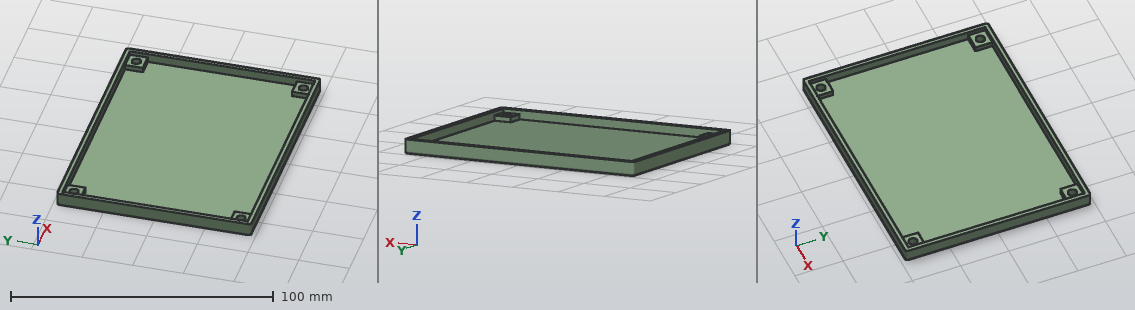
import cadquery as cq

length = 99.6
width = 76.6
height = 5.6
wall = 1.8
floor_thickness = 2.0
edge_radius = 1.0

post_size = 7.1
post_top = 4.0
hole_diameter = 3.4

inner_length = length - 2 * wall
inner_width = width - 2 * wall
post_spacing_x = inner_length - post_size
post_spacing_y = inner_width - post_size


def make_shell():
    """Open tray with rounded vertical corners and a rounded bottom edge."""
    body = cq.Workplane("XY").box(length, width, height, centered=(True, True, False))
    body = body.edges("|Z").fillet(edge_radius)
    body = body.faces("<Z").edges().fillet(edge_radius)
    cavity = (
        cq.Workplane("XY")
        .workplane(offset=floor_thickness)
        .rect(inner_length, inner_width)
        .extrude(height - floor_thickness)
    )
    return body.cut(cavity)


def make_posts():
    """Square posts filling the four inside corners, standing on the floor."""
    return (
        cq.Workplane("XY")
        .workplane(offset=floor_thickness)
        .rect(post_spacing_x, post_spacing_y, forConstruction=True)
        .vertices()
        .rect(post_size, post_size)
        .extrude(post_top - floor_thickness)
    )


def make_screw_holes():
    """Cylinders through the posts and the floor."""
    return (
        cq.Workplane("XY")
        .rect(post_spacing_x, post_spacing_y, forConstruction=True)
        .vertices()
        .circle(hole_diameter / 2)
        .extrude(height)
    )


result = make_shell().union(make_posts()).cut(make_screw_holes())